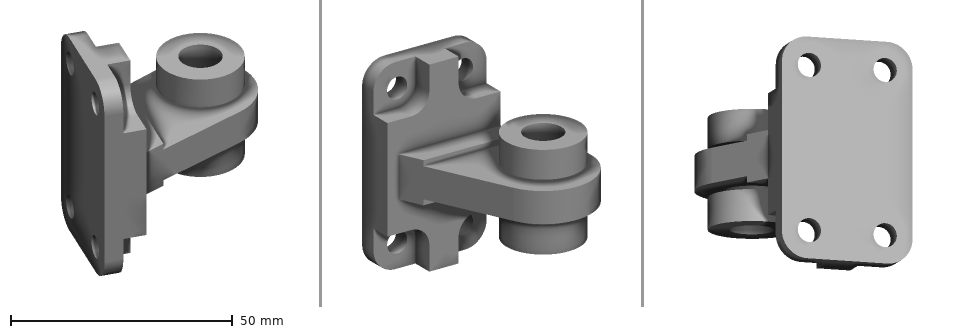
import cadquery as cq
import math

flange_width = 31.0
flange_height = 51.0
flange_thickness = 4.5
corner_radius = 6.0
base_depth = 10.0
hole_diameter = 5.5
hole_spacing_x = 18.0
hole_spacing_z = 38.0
screw_clearance_radius = 5.0

eye_x = 3.5
eye_y = 32.0
eye_radius = 13.0
arm_thickness = 8.15
arm_right_inset = 3.05
foot_thickness = 11.1
foot_length = 5.95
bore_diameter = 10.0
spacer_diameter = 13.2
bushing_diameter = 20.0
bushing_length = 7.35
bushing_span = foot_thickness + 2 * bushing_length

flange_center_x = flange_width / 2
hole_points = [
    (flange_center_x + sx * hole_spacing_x / 2, sz * hole_spacing_z / 2)
    for sx in (-1, 1)
    for sz in (-1, 1)
]


def centered_box(width, depth, height, center_x, start_y):
    """Box centred in X and Z whose front face lies at start_y."""
    box = cq.Workplane("XY").box(width, depth, height, centered=(True, False, True))
    return box.translate((center_x, start_y, 0))


def eye_cylinder(diameter, length):
    """Cylinder on the eye axis, centred on Z = 0."""
    return cq.Workplane("XY").center(eye_x, eye_y).circle(diameter / 2).extrude(length / 2, both=True)


def make_flange():
    plate = centered_box(flange_width, flange_thickness, flange_height, flange_center_x, 0)
    return plate.edges("|Y").fillet(corner_radius)


def make_backing():
    """Cross-shaped block behind the flange, with rounded inner corners around the screws."""
    tab_width = hole_spacing_x - 2 * screw_clearance_radius
    body_height = hole_spacing_z - 2 * screw_clearance_radius
    depth = base_depth - flange_thickness
    tab = centered_box(tab_width, depth, flange_height, flange_center_x, flange_thickness)
    body = centered_box(flange_width, depth, body_height, flange_center_x, flange_thickness)
    cross = tab.union(body)
    inner_corners = cq.selectors.BoxSelector(
        (flange_center_x - tab_width / 2 - 0.5, 0, -body_height / 2 - 0.5),
        (flange_center_x + tab_width / 2 + 0.5, base_depth, body_height / 2 + 0.5),
    )
    return cross.edges("|Y").edges(inner_corners).fillet(screw_clearance_radius)


def eye_tangent_point(x, y, side):
    """Point where the line from (x, y) touches the eye; side is -1 for left, 1 for right."""
    distance = math.hypot(x - eye_x, y - eye_y)
    toward_start = math.atan2(y - eye_y, x - eye_x)
    angle = toward_start + side * math.acos(eye_radius / distance)
    return (eye_x + eye_radius * math.cos(angle), eye_y + eye_radius * math.sin(angle))


def make_arm(thickness):
    """Tapered arm whose straight sides run tangent into the eye."""
    left_start = (0, base_depth)
    right_start = (flange_width - arm_right_inset, base_depth)
    return (
        cq.Workplane("XY")
        .moveTo(*left_start)
        .lineTo(*right_start)
        .lineTo(*eye_tangent_point(*right_start, 1))
        .threePointArc((eye_x, eye_y + eye_radius), eye_tangent_point(*left_start, -1))
        .close()
        .extrude(thickness / 2, both=True)
    )


def make_foot():
    """Thicker root of the arm, following the same sides."""
    root = centered_box(2 * flange_width, foot_length, foot_thickness, flange_center_x, base_depth)
    return make_arm(foot_thickness).intersect(root)


def make_bushings():
    """Pair of bushings held off the arm by narrower spacers."""
    gap = eye_cylinder(bushing_diameter, foot_thickness)
    pair = eye_cylinder(bushing_diameter, bushing_span).cut(gap)
    return pair.union(eye_cylinder(spacer_diameter, bushing_span))


screw_holes = (
    cq.Workplane("XZ").pushPoints(hole_points).circle(hole_diameter / 2).extrude(-base_depth)
)

result = (
    make_flange()
    .union(make_backing())
    .union(make_arm(arm_thickness))
    .union(make_foot())
    .union(make_bushings())
    .cut(screw_holes)
    .cut(eye_cylinder(bore_diameter, bushing_span))
)